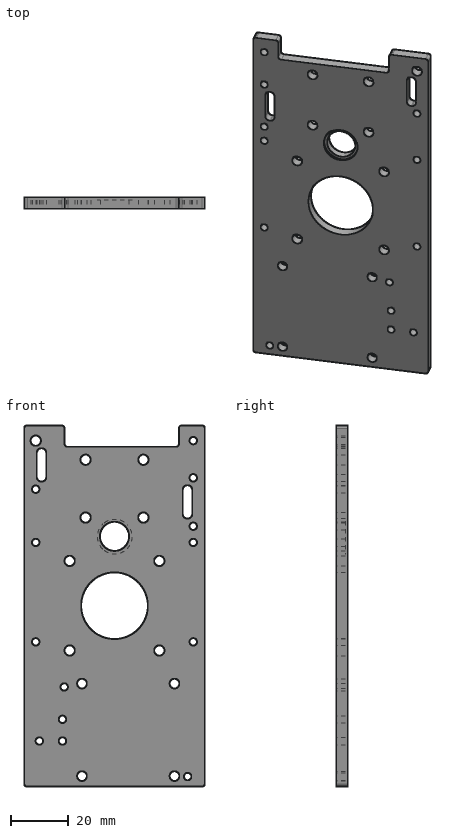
import cadquery as cq

WIDTH = 62.5
HEIGHT = 125.0
THICKNESS = 4.0
CORNER_RADIUS = 1.0

NOTCH_LEFT = -17.25
NOTCH_RIGHT = 22.25
NOTCH_FLOOR = 55.1

MOTOR_BORE_DIAMETER = 23.0
MOTOR_CENTRE = (0.0, 0.1)
UPPER_BORE_DIAMETER = 10.0
UPPER_BORE_Z = 24.1
UPPER_RECESS_DIAMETER = 12.0
UPPER_RECESS_DEPTH = 0.8

MOTOR_BOLT_DIAMETER = 3.5
MOTOR_BOLT_SPACING = 31.0
UPPER_BOLT_DIAMETER = 3.5
UPPER_BOLT_SPACING = 20.0
UPPER_BOLT_CENTRE = (0.0, 40.6)
LOWER_BOLT_DIAMETER = 3.3
LOWER_BOLT_SPACING = 32.0
LOWER_BOLT_CENTRE = (4.75, -42.85)

EDGE_HOLE_X = 27.25
TOP_HOLE_Z = 57.2
TOP_LEFT_HOLE_DIAMETER = 3.5
SMALL_HOLE_DIAMETER = 2.5
LEFT_EDGE_HOLES_Z = [40.4, 22.0, -12.4]
RIGHT_EDGE_HOLES_Z = [TOP_HOLE_Z, 44.35, 27.6, 22.0, -12.4]

BOTTOM_SMALL_HOLES = [
    (-17.4, -28.0),
    (-18.0, -39.2),
    (-18.0, -46.7),
    (-26.0, -46.7),
    (25.3, -59.0),
]

SLOT_LENGTH = 11.4
SLOT_WIDTH = 3.2
SLOT_CORNER_RADIUS = 1.5
SLOT_CENTRES = [(-25.25, 48.8), (25.25, 36.0)]


def front_sketch():
    """XZ workplane on the front face; extruding a negative distance goes into the plate."""
    return cq.Workplane("XZ", origin=(0, -THICKNESS / 2, 0))


def square_pattern(spacing, centre):
    """Corner points of a square of the given side."""
    half = spacing / 2
    return [(centre[0] + i * half, centre[1] + k * half) for i in (-1, 1) for k in (-1, 1)]


def plate():
    """Notched plate with all eight outline corners rounded."""
    outline = [
        (-WIDTH / 2, -HEIGHT / 2),
        (WIDTH / 2, -HEIGHT / 2),
        (WIDTH / 2, HEIGHT / 2),
        (NOTCH_RIGHT, HEIGHT / 2),
        (NOTCH_RIGHT, NOTCH_FLOOR),
        (NOTCH_LEFT, NOTCH_FLOOR),
        (NOTCH_LEFT, HEIGHT / 2),
        (-WIDTH / 2, HEIGHT / 2),
    ]
    blank = front_sketch().polyline(outline).close().extrude(-THICKNESS)
    return blank.edges("|Y").fillet(CORNER_RADIUS)


def drill(body, points, diameter):
    """Cut round through holes at the given (x, z) points."""
    pins = front_sketch().pushPoints(points).circle(diameter / 2).extrude(-THICKNESS)
    return body.cut(pins)


def recess_upper_bore(body):
    """Cut the shallow round recess around the upper bore on the back (+Y) face."""
    recess_floor = front_sketch().workplane(offset=UPPER_RECESS_DEPTH - THICKNESS)
    recess = recess_floor.center(0, UPPER_BORE_Z).circle(UPPER_RECESS_DIAMETER / 2)
    return body.cut(recess.extrude(-UPPER_RECESS_DEPTH))


def cut_slots(body):
    """Cut the upright through slots and round their corners."""
    slots = front_sketch().pushPoints(SLOT_CENTRES).rect(SLOT_WIDTH, SLOT_LENGTH).extrude(-THICKNESS)
    return body.cut(slots.edges("|Y").fillet(SLOT_CORNER_RADIUS))


left_edge_holes = [(-EDGE_HOLE_X, z) for z in LEFT_EDGE_HOLES_Z]
right_edge_holes = [(EDGE_HOLE_X, z) for z in RIGHT_EDGE_HOLES_Z]
small_holes = left_edge_holes + right_edge_holes + BOTTOM_SMALL_HOLES

result = plate()
result = drill(result, [MOTOR_CENTRE], MOTOR_BORE_DIAMETER)
result = drill(result, [(0, UPPER_BORE_Z)], UPPER_BORE_DIAMETER)
result = recess_upper_bore(result)
result = drill(result, square_pattern(MOTOR_BOLT_SPACING, MOTOR_CENTRE), MOTOR_BOLT_DIAMETER)
result = drill(result, square_pattern(UPPER_BOLT_SPACING, UPPER_BOLT_CENTRE), UPPER_BOLT_DIAMETER)
result = drill(result, square_pattern(LOWER_BOLT_SPACING, LOWER_BOLT_CENTRE), LOWER_BOLT_DIAMETER)
result = drill(result, [(-EDGE_HOLE_X, TOP_HOLE_Z)], TOP_LEFT_HOLE_DIAMETER)
result = drill(result, small_holes, SMALL_HOLE_DIAMETER)
result = cut_slots(result)